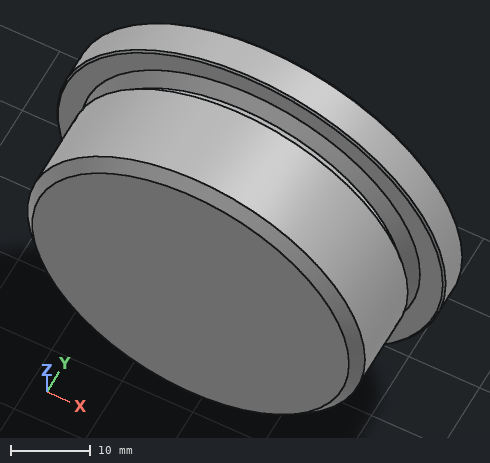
import cadquery as cq

flange_diameter = 55.0
flange_thickness = 5.0
flange_chamfer = 0.3
body_diameter = 47.8
total_length = 21.0
end_chamfer = 1.5
groove_depth = 1.5
flange_cone_length = 1.6

flange_radius = flange_diameter / 2
body_radius = body_diameter / 2
groove_bottom_radius = body_radius - groove_depth

cone_base_radius = groove_bottom_radius + flange_cone_length

flange_front = total_length - flange_thickness
groove_middle = flange_front - flange_cone_length
groove_start = groove_middle - groove_depth

profile = [
    (0, 0),
    (body_radius - end_chamfer, 0),
    (body_radius, end_chamfer),
    (body_radius, groove_start),
    (groove_bottom_radius, groove_middle),
    (cone_base_radius, flange_front),
    (flange_radius - flange_chamfer, flange_front),
    (flange_radius, flange_front + flange_chamfer),
    (flange_radius, total_length - flange_chamfer),
    (flange_radius - flange_chamfer, total_length),
    (0, total_length),
]

result = cq.Workplane("XY").polyline(profile).close().revolve(360, (0, 0, 0), (0, 1, 0))